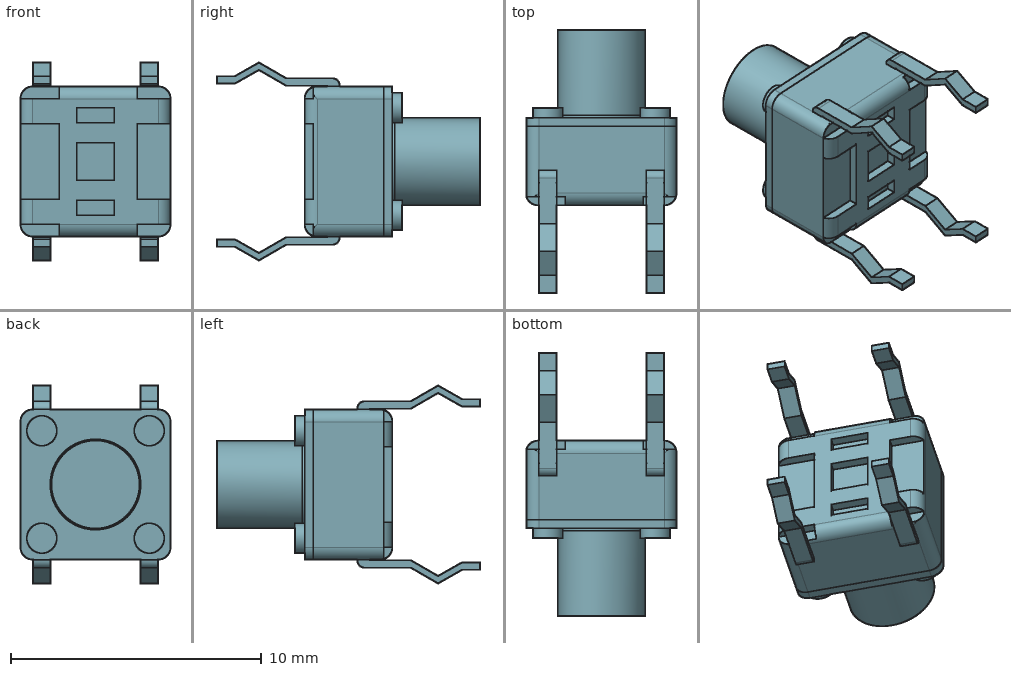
import cadquery as cq
import math


case_width = 6.0
case_depth = 3.5
case_corner_radius = 0.5
half_case = case_width / 2

cover_thickness = 0.35
button_radius = 1.75
button_length = 3.51
collar_radius = 1.81
collar_height = 0.1
stud_radius = 0.6
stud_height = 0.4
stud_offset = 2.14

base_depth = case_depth - cover_thickness
mount_edge_radius = 0.5
recess_depth = 0.35
left_recess_inner_edge = 1.44
right_recess_inner_edge = 1.66
side_recess_height = 3.0
corner_recess_start = half_case - case_corner_radius
window_width = 1.5
center_window_height = 1.5
outer_window_height = 0.6
outer_window_offset = 1.84

pin_width = 0.7
pin_offset = 2.14
pin_thickness = 0.3
pin_clearance = 0.02
pin_root_length = 0.5
pin_root_y = 1.41
pin_first_bend_y = -0.74
pin_crest_y = -1.82
pin_last_bend_y = -2.77
pin_tip_y = -3.5
pin_span = 7.9
pin_tip_rise = 0.08


def prism(y_start, length):
    """Square case section with rounded corners, extruded towards +Y."""
    return (
        cq.Workplane("XZ", origin=(0, y_start, 0))
        .rect(case_width, case_width)
        .extrude(-length)
        .edges("|Y")
        .fillet(case_corner_radius)
    )


def disc(x, z, radius, height):
    """Cylinder standing on the outer face of the cover."""
    return cq.Workplane("XZ", origin=(x, case_depth, z)).circle(radius).extrude(-height)


def recess(x_min, x_max, z_min, z_max):
    """Rectangular cutter sunk into the mounting face."""
    return cq.Workplane("XY").box(
        x_max - x_min, recess_depth, z_max - z_min, centered=False
    ).translate((x_min, 0, z_min))


def edge_rounded_block():
    """Block whose mounting edges along X are rounded over their full radius."""
    block = cq.Workplane("XY").box(case_width, base_depth, case_width, centered=(True, False, True))
    return block.edges("|X and <Y").fillet(mount_edge_radius)


def side_rounded_block():
    """Block rounded along Z: a full quarter round at +X, an arc only as high as the recesses at -X."""
    arc_rise = mount_edge_radius - recess_depth
    arc_width = math.sqrt(mount_edge_radius**2 - arc_rise**2)
    left_flat_end = arc_width - half_case
    right_flat_end = half_case - mount_edge_radius
    return (
        cq.Workplane("XY", origin=(0, 0, -half_case))
        .moveTo(left_flat_end, 0)
        .lineTo(right_flat_end, 0)
        .radiusArc((half_case, mount_edge_radius), -mount_edge_radius)
        .lineTo(half_case, base_depth)
        .lineTo(-half_case, base_depth)
        .lineTo(-half_case, recess_depth)
        .radiusArc((left_flat_end, 0), -mount_edge_radius)
        .close()
        .extrude(case_width)
    )


def make_base():
    base = prism(0, base_depth).intersect(edge_rounded_block()).intersect(side_rounded_block())

    recess_x_ranges = [
        (-half_case, -left_recess_inner_edge),
        (right_recess_inner_edge, half_case),
    ]
    recess_z_ranges = [
        (-half_case, -corner_recess_start),
        (-side_recess_height / 2, side_recess_height / 2),
        (corner_recess_start, half_case),
    ]
    for x_min, x_max in recess_x_ranges:
        for z_min, z_max in recess_z_ranges:
            base = base.cut(recess(x_min, x_max, z_min, z_max))

    windows = [
        (-outer_window_offset, outer_window_height),
        (0, center_window_height),
        (outer_window_offset, outer_window_height),
    ]
    for z, height in windows:
        base = base.cut(recess(-window_width / 2, window_width / 2, z - height / 2, z + height / 2))
    return base.solids().val()


def make_cover():
    cover = prism(base_depth, cover_thickness)
    cover = cover.union(disc(0, 0, collar_radius, collar_height))
    cover = cover.union(disc(0, 0, button_radius, button_length))
    for x in (-stud_offset, stud_offset):
        for z in (-stud_offset, stud_offset):
            cover = cover.union(disc(x, z, stud_radius, stud_height))
    return cover.solids().val()


def make_pin(x, on_top):
    """Bent strip pin standing on the top or the bottom of the case."""
    inner = half_case + pin_clearance
    outer = inner + pin_thickness
    crest_rise = pin_span / 2 - outer
    root_end_y = pin_root_y - pin_root_length
    pin = (
        cq.Workplane("YZ", origin=(x - pin_width / 2, 0, 0))
        .moveTo(root_end_y, half_case)
        .lineTo(root_end_y, inner)
        .lineTo(pin_first_bend_y, inner)
        .lineTo(pin_crest_y, inner + crest_rise)
        .lineTo(pin_last_bend_y, inner + pin_tip_rise)
        .lineTo(pin_tip_y, inner + pin_tip_rise)
        .lineTo(pin_tip_y, outer + pin_tip_rise)
        .lineTo(pin_last_bend_y, outer + pin_tip_rise)
        .lineTo(pin_crest_y, outer + crest_rise)
        .lineTo(pin_first_bend_y, outer)
        .lineTo(pin_root_y - pin_thickness, outer)
        .radiusArc((pin_root_y, inner), pin_thickness)
        .lineTo(pin_root_y, half_case)
        .close()
        .extrude(pin_width)
    )
    if not on_top:
        pin = pin.mirror("XY")
    return pin.solids().val()


base = make_base()
cover = make_cover()
pins = [make_pin(x, on_top) for x in (-pin_offset, pin_offset) for on_top in (True, False)]

result = cq.Compound.makeCompound([base, cover, *pins])